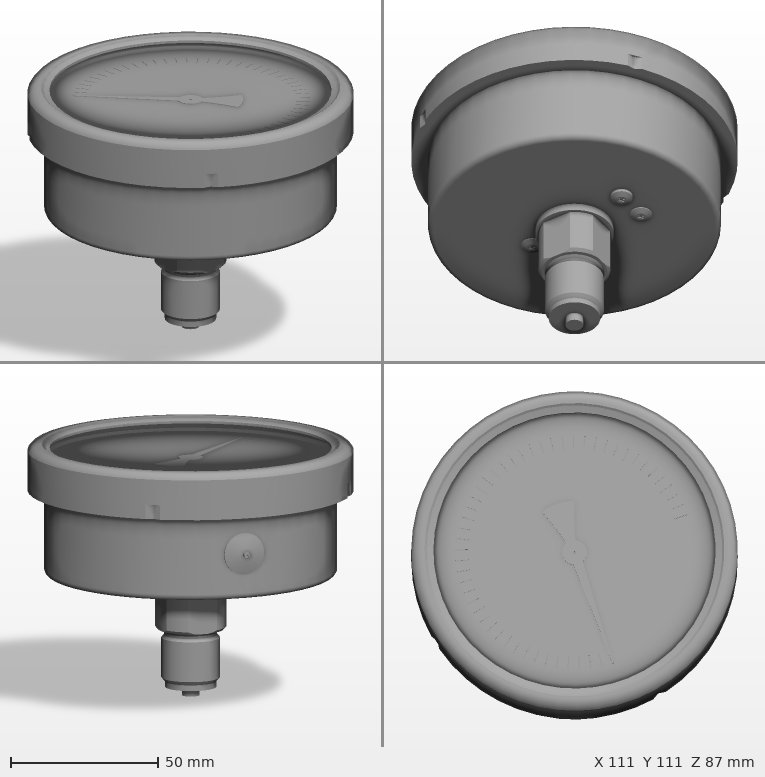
import cadquery as cq
import math


overall_height = 87.0
bezel_radius = 55.5
bezel_top = 45.0
stem_bottom = bezel_top - overall_height

bezel_height = 16.1
bezel_bottom = bezel_top - bezel_height
rim_radius = 51.9
rim_drop = 2.3
rim_inner_radius = 50.9
rim_bevel_radius = 50.2
rim_bevel_drop = 0.5
window_radius = 47.9
window_slope_drop = 1.4
lip_drop = 2.3
lip_seat_radius = 51.0
flange_top = bezel_top - 4.1
flange_bottom = bezel_top - 11.1

groove_count = 4
first_groove_angle = -35.0
groove_half_angle = 2.6
groove_floor_radius = 54.6
groove_floor_width = 0.4
groove_cutter_radius = 57.7

case_radius = 49.8
case_flange_radius = 55.0
case_fillet = 2.0
dial_z = bezel_top - 5.0
dial_radius = 48.7
dial_rim_radius = 49.8

tick_count = 50
scale_start_angle = 222.4
scale_sweep = 270.0
tick_inner_radius = 35.9
tick_outer_radius = 40.6
tick_width = 0.3
tick_depth = 0.1

pointer_thickness = 0.2
hub_radius = 4.2
pivot_diameter = 0.99
needle_length = 40.6
needle_root_x = 3.9
needle_root_half_width = 1.7
needle_tip_half_width = 0.1
tail_radius = 18.0
tail_root_x = -3.8
tail_root_half_width = 1.7
tail_mid_x = -9.3
tail_mid_half_width = 3.1
tail_end_half_width = 6.0
tail_corner_fillet = 0.9

stem_flange_radius = 13.3
stem_flange_bottom = -2.7
square_half_width = 11.0
square_corner_radius = 12.2
square_bottom = -19.1
square_chamfer = 1.0
relief_radius = 9.0
relief_cone_radius = 9.9
relief_top = -20.1
relief_bottom = -21.0
thread_radius = 10.0
thread_top = -22.0
thread_bottom = -35.7
neck_radius = 8.8
neck_top = -37.0
neck_bottom = -39.0
tip_radius = 3.0

screw_radius = 3.8
screw_head_height = 1.0
screw_dome_height = 0.9
screw_dome_end_radius = 1.8
screw_dome_mid_radius = 2.9
screw_dome_mid_height = 0.4
screw_slot_width = 0.7
screw_slot_length = 2.2
screw_slot_depth = 0.4
sunk_depth = 0.7
screw_places = [
    (-6.0, -23.1, 0.0),
    (6.0, -23.1, sunk_depth),
    (0.0, 17.2, sunk_depth),
]

plug_z = 15.6
plug_radius = 7.2
plug_seat_y = 47.7
plug_edge_y = 49.8
plug_crown_y = 51.0
plug_nub_radius = 1.0
plug_nub_end_y = 52.2
plug_tip_radius = 0.5 / 2
plug_tip_end_y = 54.6


def turned(points):
    """Solid of revolution about Z from an outline of (radius, z) points."""
    return cq.Workplane("XZ").polyline(points).close().revolve(360, (0, 0, 0), (0, 1, 0))


def polar(radius, angle):
    return (radius * math.cos(math.radians(angle)), radius * math.sin(math.radians(angle)))


def make_bezel():
    run = bezel_radius - rim_radius
    arc_radius = (run**2 + rim_drop**2) / (2 * rim_drop)
    half_turn = math.asin(run / arc_radius) / 2
    shoulder_mid = (
        rim_radius + arc_radius * math.sin(half_turn),
        bezel_top - arc_radius * (1 - math.cos(half_turn)),
    )
    bezel = (
        cq.Workplane("XZ")
        .moveTo(case_radius, bezel_bottom)
        .lineTo(bezel_radius, bezel_bottom)
        .lineTo(bezel_radius, bezel_top - rim_drop)
        .threePointArc(shoulder_mid, (rim_radius, bezel_top))
        .lineTo(rim_inner_radius, bezel_top)
        .lineTo(rim_bevel_radius, bezel_top - rim_bevel_drop)
        .lineTo(window_radius, bezel_top - window_slope_drop)
        .lineTo(window_radius, bezel_top - lip_drop)
        .lineTo(lip_seat_radius, bezel_top - lip_drop)
        .lineTo(lip_seat_radius, flange_top)
        .lineTo(case_flange_radius, flange_top)
        .lineTo(case_flange_radius, flange_bottom)
        .lineTo(case_radius, flange_bottom)
        .close()
        .revolve(360, (0, 0, 0), (0, 1, 0))
    )
    return bezel.cut(make_bezel_grooves())


def make_bezel_grooves():
    """V-shaped cutters with a narrow flat floor, open at the outside and at the bottom."""
    mouth_x, mouth_y = polar(bezel_radius, groove_half_angle)
    floor_y = groove_floor_width / 2
    wall_slope = (mouth_y - floor_y) / (mouth_x - groove_floor_radius)
    outer_y = floor_y + wall_slope * (groove_cutter_radius - groove_floor_radius)
    cutter = (
        cq.Workplane("XY", origin=(0, 0, bezel_bottom))
        .polyline([
            (groove_floor_radius, -floor_y),
            (groove_cutter_radius, -outer_y),
            (groove_cutter_radius, outer_y),
            (groove_floor_radius, floor_y),
        ])
        .close()
        .extrude(flange_bottom - bezel_bottom)
    )
    cutters = cq.Workplane("XY")
    for index in range(groove_count):
        angle = first_groove_angle + index * 360 / groove_count
        cutters = cutters.add(cutter.rotate((0, 0, 0), (0, 0, 1), angle))
    return cutters.combine()


def make_ticks():
    """Shallow radial cutters for the dial scale."""
    length = tick_outer_radius - tick_inner_radius
    ticks = cq.Workplane("XY")
    for index in range(tick_count):
        angle = scale_start_angle - index * scale_sweep / (tick_count - 1)
        mark = (
            cq.Workplane("XY", origin=(0, 0, dial_z - tick_depth))
            .center((tick_inner_radius + tick_outer_radius) / 2, 0)
            .rect(length, tick_width)
            .extrude(tick_depth)
            .rotate((0, 0, 0), (0, 0, 1), angle)
        )
        ticks = ticks.add(mark)
    return ticks.combine()


def make_case(plug):
    case = turned([
        (0, 0),
        (case_radius, 0),
        (case_radius, flange_bottom),
        (case_flange_radius, flange_bottom),
        (case_flange_radius, flange_top),
        (dial_rim_radius, flange_top),
        (dial_radius, dial_z),
        (0, dial_z),
    ])
    case = case.faces("<Z").edges().fillet(case_fillet)
    case = case.cut(make_ticks())
    for x, y, recess in screw_places:
        if recess > 0:
            case = case.cut(cq.Workplane("XY").center(x, y).circle(screw_radius).extrude(recess))
    return case.cut(plug)


def make_pointer():
    tail_end_x = -math.sqrt(tail_radius**2 - tail_end_half_width**2)
    base = cq.Workplane("XY", origin=(0, 0, dial_z))
    hub = base.circle(hub_radius).extrude(pointer_thickness)
    needle = (
        base.moveTo(0, -needle_root_half_width)
        .lineTo(needle_root_x, -needle_root_half_width)
        .lineTo(needle_length, -needle_tip_half_width)
        .lineTo(needle_length, needle_tip_half_width)
        .lineTo(needle_root_x, needle_root_half_width)
        .lineTo(0, needle_root_half_width)
        .close()
        .extrude(pointer_thickness)
    )
    tail = (
        base.moveTo(0, tail_root_half_width)
        .lineTo(tail_root_x, tail_root_half_width)
        .threePointArc((tail_mid_x, tail_mid_half_width), (tail_end_x, tail_end_half_width))
        .threePointArc((-tail_radius, 0), (tail_end_x, -tail_end_half_width))
        .threePointArc((tail_mid_x, -tail_mid_half_width), (tail_root_x, -tail_root_half_width))
        .lineTo(0, -tail_root_half_width)
        .close()
        .extrude(pointer_thickness)
    )
    tail = tail.edges("|Z").edges("<X").fillet(tail_corner_fillet)
    pointer = hub.union(needle).union(tail)
    pointer = pointer.cut(base.circle(pivot_diameter / 2).extrude(pointer_thickness))
    return pointer.rotate((0, 0, 0), (0, 0, 1), scale_start_angle)


def make_stem():
    turned_part = turned([
        (0, 0),
        (stem_flange_radius, 0),
        (stem_flange_radius, stem_flange_bottom),
        (relief_cone_radius, stem_flange_bottom),
        (relief_cone_radius, square_bottom),
        (relief_radius, relief_top),
        (relief_radius, relief_bottom),
        (thread_radius, thread_top),
        (thread_radius, thread_bottom),
        (neck_radius, neck_top),
        (neck_radius, neck_bottom),
        (tip_radius, neck_bottom),
        (tip_radius, stem_bottom),
        (0, stem_bottom),
    ])
    square_height = stem_flange_bottom - square_bottom
    corners = (
        cq.Workplane("XY", origin=(0, 0, square_bottom))
        .circle(square_corner_radius)
        .extrude(square_height)
        .faces("<Z")
        .chamfer(square_chamfer)
    )
    square = (
        cq.Workplane("XY", origin=(0, 0, square_bottom))
        .rect(2 * square_half_width, 2 * square_half_width)
        .extrude(square_height)
    )
    return turned_part.union(corners.intersect(square))


def make_screw(x, y, recess):
    """Domed cross-slot screw head hanging below the case back."""
    dome_end = -screw_head_height - screw_dome_height
    head = (
        cq.Workplane("XZ")
        .moveTo(0, 0)
        .lineTo(screw_radius, 0)
        .lineTo(screw_radius, -screw_head_height)
        .threePointArc(
            (screw_dome_mid_radius, -screw_head_height - screw_dome_mid_height),
            (screw_dome_end_radius, dome_end),
        )
        .lineTo(0, dome_end)
        .close()
        .revolve(360, (0, 0, 0), (0, 1, 0))
    )
    slot_plane = cq.Workplane("XY", origin=(0, 0, dome_end))
    slot = slot_plane.rect(screw_slot_length, screw_slot_width).extrude(screw_slot_depth)
    cross = slot.union(slot.rotate((0, 0, 0), (0, 0, 1), 90))
    return head.cut(cross).translate((x, y, recess))


def make_plug():
    """Domed plug with a stepped spigot, turned about an axis along Y."""
    dome_rise = plug_crown_y - plug_edge_y
    dome_radius = (plug_radius**2 + dome_rise**2) / (2 * dome_rise)
    dome_center_y = plug_crown_y - dome_radius

    def dome_y(radius):
        return dome_center_y + math.sqrt(dome_radius**2 - radius**2)

    return (
        cq.Workplane("XY")
        .moveTo(0, plug_seat_y)
        .lineTo(plug_radius, plug_seat_y)
        .lineTo(plug_radius, plug_edge_y)
        .threePointArc(
            (plug_radius / 2, dome_y(plug_radius / 2)),
            (plug_nub_radius, dome_y(plug_nub_radius)),
        )
        .lineTo(plug_nub_radius, plug_nub_end_y)
        .lineTo(plug_tip_radius, plug_nub_end_y)
        .lineTo(plug_tip_radius, plug_tip_end_y)
        .lineTo(0, plug_tip_end_y)
        .close()
        .revolve(360, (0, 0, 0), (0, 1, 0))
        .translate((0, 0, plug_z))
    )


bezel = make_bezel()
plug = make_plug()
case = make_case(plug)
pointer = make_pointer()
stem = make_stem()
screws = [make_screw(x, y, recess) for x, y, recess in screw_places]

bodies = [bezel, case, pointer, stem, plug, *screws]
result = cq.Compound.makeCompound([body.solids().val() for body in bodies])